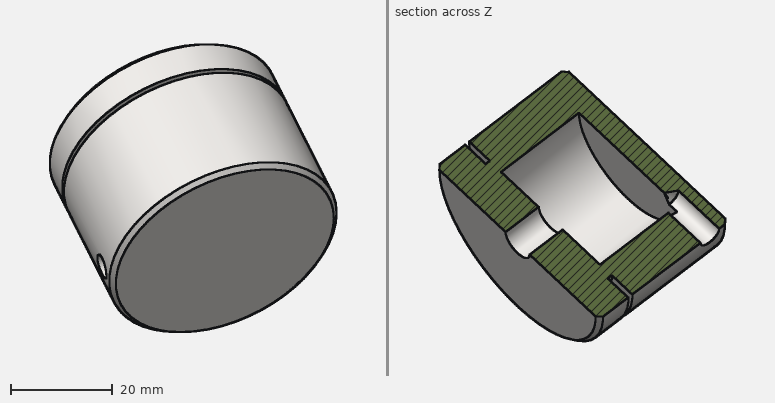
import cadquery as cq

length = 34.25
diameter = 48.0
edge_chamfer = 1.0

cap_length = 7.8
groove_width = 1.0
groove_diameter = 36.0

bore_diameter = 7.0
cavity_diameter = 29.0

side_hole_diameter = 4.9
side_hole_depth = 12.0
side_hole_to_back = 5.0
tip_length = 1.4

side_hole_x = length - side_hole_to_back
cavity_start = cap_length + groove_width
cavity_length = side_hole_x - cavity_start

pin_diameter = 0.1
pin_y = 2.25
pin_z = 21.7


def x_cylinder(cylinder_diameter, start, cylinder_length, y=0, z=0):
    """Cylinder parallel to X that starts at the given X position."""
    return (
        cq.Workplane("YZ", origin=(start, y, z))
        .circle(cylinder_diameter / 2)
        .extrude(cylinder_length)
    )


def make_groove():
    outer = x_cylinder(diameter, cap_length, groove_width)
    core = x_cylinder(groove_diameter, cap_length, groove_width)
    return outer.cut(core)


def make_side_hole():
    """Drilled hole made from its half profile, revolved about its own Y axis."""
    mouth_y = -diameter / 2
    shoulder_y = mouth_y + side_hole_depth
    return (
        cq.Workplane("YZ", origin=(side_hole_x, 0, 0))
        .moveTo(mouth_y, 0)
        .lineTo(mouth_y, side_hole_diameter / 2)
        .lineTo(shoulder_y, side_hole_diameter / 2)
        .lineTo(shoulder_y + tip_length, 0)
        .close()
        .revolve(360, (0, 0, 0), (1, 0, 0))
    )


body = x_cylinder(diameter, 0, length).edges().chamfer(edge_chamfer)
body = body.cut(make_groove())
body = body.cut(x_cylinder(bore_diameter, 0, cavity_start))
body = body.cut(x_cylinder(cavity_diameter, cavity_start, cavity_length))
body = body.cut(make_side_hole())
result = body.union(x_cylinder(pin_diameter, cap_length, groove_width, pin_y, pin_z))